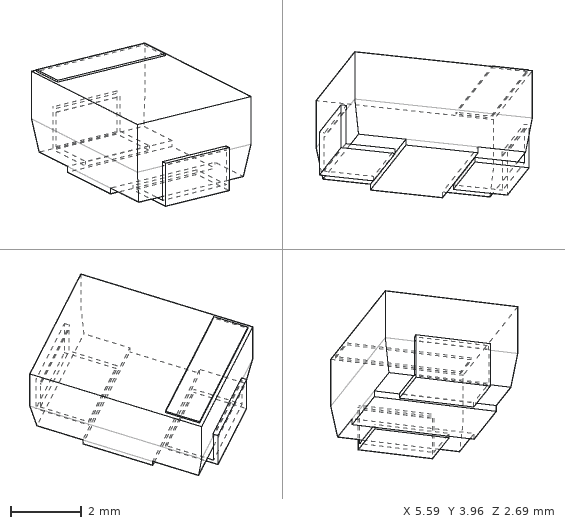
import cadquery as cq

overall_length = 5.59
overall_height = 2.69

mark_thickness = 0.055
mark_length = 1.05
mark_inset = 0.105

housing_length = 5.275
housing_width = 3.96
housing_top = overall_height - mark_thickness
parting_height = 1.18
standoff_height = 0.18
standoff_length = 2.145
taper_inset = 0.155
base_length = housing_length - 2 * taper_inset
base_width = housing_width - 2 * taper_inset

lead_width = 2.22
lead_thickness = 0.14
lead_height = 1.315
lead_tab_thickness = 0.125
foot_length = 1.61


def make_housing():
    """Block with a tapered underside and a standoff pad, as one solid."""
    upper = (
        cq.Workplane("XY", origin=(0, 0, parting_height))
        .rect(housing_length, housing_width)
        .extrude(housing_top - parting_height)
    )
    lower = (
        cq.Workplane("XY", origin=(0, 0, standoff_height))
        .rect(base_length, base_width)
        .workplane(offset=parting_height - standoff_height)
        .rect(housing_length, housing_width)
        .loft(ruled=True, combine=True)
    )
    standoff = cq.Workplane("XY").rect(standoff_length, base_width).extrude(standoff_height)
    return upper.union(lower).union(standoff)


def make_polarity_mark():
    """Thin rectangular plate on the housing top, near the -X end."""
    mark_width = housing_width - 2 * mark_inset
    center_x = -housing_length / 2 + mark_inset + mark_length / 2
    return (
        cq.Workplane("XY", origin=(center_x, 0, housing_top))
        .rect(mark_length, mark_width)
        .extrude(mark_thickness)
    )


def make_lead(side):
    """Lead at the end given by side (-1 or +1): foot, upright and a tab touching the housing."""
    outer_x = side * overall_length / 2
    inner_x = outer_x - side * lead_thickness
    housing_x = side * housing_length / 2
    foot_end_x = outer_x - side * foot_length
    tab_bottom = lead_height - lead_tab_thickness
    profile = [
        (foot_end_x, 0),
        (outer_x, 0),
        (outer_x, lead_height),
        (housing_x, lead_height),
        (housing_x, tab_bottom),
        (inner_x, tab_bottom),
        (inner_x, lead_thickness),
        (foot_end_x, lead_thickness),
    ]
    return cq.Workplane("XZ").polyline(profile).close().extrude(lead_width / 2, both=True)


housing = make_housing()
polarity_mark = make_polarity_mark()
leads = [make_lead(side) for side in (-1, 1)]

result = cq.Compound.makeCompound(
    [housing.val(), polarity_mark.val(), *[lead.val() for lead in leads]]
)